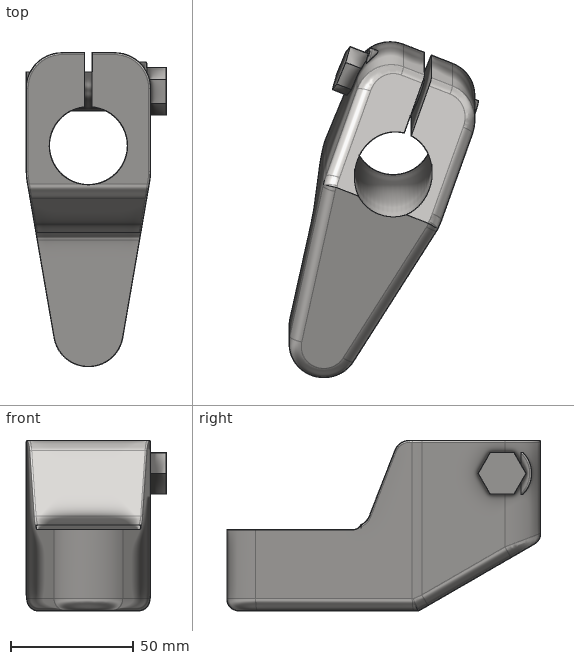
import cadquery as cq
import math

height = 69.8
length = 128.5
half_width = 25.5
back_y = 38.0
tip_y = back_y - length

taper_start_y = -12.6
tip_radius = 14.3
head_corner_radius = 14.7
taper_blend_radius = 23.1

arm_height = 33.3
underside_angle = 30.0
underside_end_y = -12.0
shoulder_y = -20.0
shoulder_radius = 6.4
slope_foot = (-32.1, 38.8)
cusp = (-35.6, 35.2)
arm_top_start = (-38.7, arm_height)

base_fillet = 5.0
top_fillet = 0.8
min_upward = 0.1
position_tolerance = 0.1

bore_radius = 16.0
slot_width = 3.1

bolt_y = 22.2
bolt_z = height - 13.5
bolt_radius = 8.0
washer_radius = 12.1
washer_thickness = 3.9
washer_fillet = 0.8
nut_across_flats = 17.0
nut_inner_x = 23.9
nut_outer_x = 31.9


def plan_prism(bottom_z):
    """Plan outline with flanks tangent to the tip circle, from bottom_z to the top."""
    tip_center_y = tip_y + tip_radius
    run = taper_start_y - tip_center_y
    touch_angle = math.atan2(run, half_width) - math.acos(tip_radius / math.hypot(half_width, run))
    touch_x = tip_radius * math.cos(touch_angle)
    touch_y = tip_center_y + tip_radius * math.sin(touch_angle)
    prism = (
        cq.Workplane("XY", origin=(0, 0, bottom_z))
        .moveTo(half_width, back_y)
        .lineTo(half_width, taper_start_y)
        .lineTo(touch_x, touch_y)
        .threePointArc((0, tip_y), (-touch_x, touch_y))
        .lineTo(-half_width, taper_start_y)
        .lineTo(-half_width, back_y)
        .close()
        .extrude(height - bottom_z)
    )
    prism = prism.edges("|Z and >Y").fillet(head_corner_radius)
    taper_edges = cq.selectors.BoxSelector(
        (-half_width - 1.3, taper_start_y - 1.3, bottom_z),
        (half_width + 1.3, taper_start_y + 1.3, height),
    )
    return prism.edges("|Z").edges(taper_edges).fillet(taper_blend_radius)


def flat_base_prism():
    """Plan prism standing on Z = 0 with a rounded base rim."""
    return plan_prism(0).faces("<Z").edges().fillet(base_fillet)


def sloped_base_prism():
    """Plan prism cut along the sloping underside, with that face's rim rounded."""
    slope = math.tan(math.radians(underside_angle))
    back_z = (back_y - underside_end_y) * slope
    tip_z = (tip_y - underside_end_y) * slope
    below_slope = (
        cq.Workplane("YZ")
        .moveTo(back_y, back_z)
        .lineTo(tip_y, tip_z)
        .lineTo(tip_y, tip_z - height)
        .lineTo(back_y, tip_z - height)
        .close()
        .extrude(half_width, both=True)
    )
    prism = plan_prism(tip_z - height).cut(below_slope)
    return prism.faces("<Z").edges().fillet(base_fillet)


def foot_arc_midpoint():
    """Midpoint of the arc from the cusp that is tangent to the arm top."""
    dy = cusp[0] - arm_top_start[0]
    dz = cusp[1] - arm_top_start[1]
    radius = (dy**2 + dz**2) / (2 * dz)
    half_sweep = math.atan2(dz, dy)
    return (
        arm_top_start[0] + radius * math.sin(half_sweep),
        arm_top_start[1] + radius * (1 - math.cos(half_sweep)),
    )


def top_profile_prism():
    """Block under the stepped top: head, slope, cusped foot and arm."""
    prism = (
        cq.Workplane("YZ")
        .moveTo(back_y, 0)
        .lineTo(back_y, height)
        .lineTo(shoulder_y, height)
        .lineTo(*slope_foot)
        .tangentArcPoint(cusp, relative=False)
        .threePointArc(foot_arc_midpoint(), arm_top_start)
        .lineTo(tip_y, arm_height)
        .lineTo(tip_y, 0)
        .close()
        .extrude(half_width, both=True)
    )
    shoulder = cq.selectors.NearestToPointSelector((0, shoulder_y, height))
    return prism.edges("|X").edges(shoulder).fillet(shoulder_radius)


def round_top_rim(body):
    """Round the outer rim of the top faces; the rounding runs on around the arm."""
    top_faces = [
        face
        for face in body.faces().vals()
        if face.normalAt().z > min_upward and face.Center().y > arm_top_start[0]
    ]
    edges = [edge for face in top_faces for edge in face.Edges()]
    rim = [edge for edge in edges if sum(edge.isSame(other) for other in edges) == 1]
    rim = [edge for edge in rim if edge.Center().y > arm_top_start[0] + position_tolerance]
    return body.newObject(rim).fillet(top_fillet)


def arm_zone():
    """Box around the arm up to the foot cusp, where the top rim stays sharp."""
    return cq.Workplane("XY", origin=(0, tip_y, 0)).box(
        2 * half_width,
        cusp[0] - tip_y,
        height,
        centered=(True, False, False),
    )


def x_cylinder(radius, start_x, end_x):
    """Cylinder on the bolt axis between two X positions."""
    return (
        cq.Workplane("YZ", origin=(start_x, bolt_y, bolt_z))
        .circle(radius)
        .extrude(end_x - start_x)
    )


body = top_profile_prism().intersect(flat_base_prism()).intersect(sloped_base_prism())
sharp_arm = body.intersect(arm_zone())
body = round_top_rim(body).union(sharp_arm)

bore = cq.Workplane("XY").circle(bore_radius).extrude(height)
slot = cq.Workplane("XY").rect(slot_width, back_y, centered=(True, False)).extrude(height)
body = body.cut(bore).cut(slot)

bolt = x_cylinder(bolt_radius, -half_width, nut_inner_x)
washer = x_cylinder(washer_radius, nut_inner_x - washer_thickness, nut_inner_x)
washer = washer.faces(">X").edges().fillet(washer_fillet)
nut_across_corners = nut_across_flats / math.cos(math.pi / 6)
nut = (
    cq.Workplane("YZ", origin=(nut_inner_x, bolt_y, bolt_z))
    .polygon(6, nut_across_corners)
    .extrude(nut_outer_x - nut_inner_x)
)

result = body.union(bolt).union(washer).union(nut)